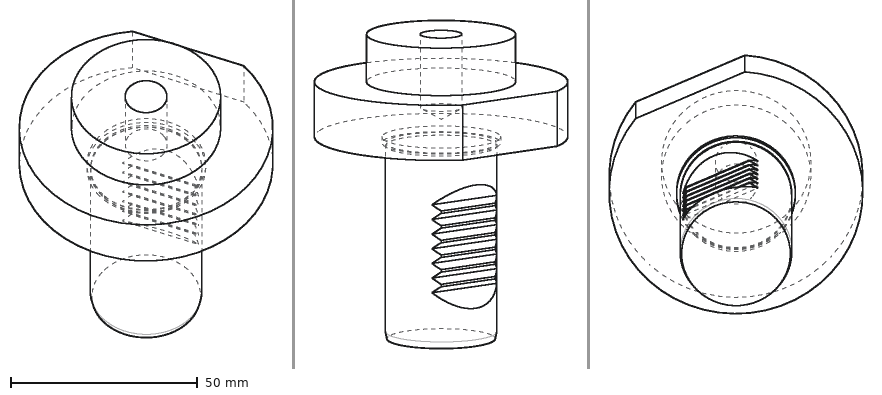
import cadquery as cq

total_height = 83
flange_thickness = 15.0
boss_height = 12.95
collar_thickness = 1.6
neck_height = 0.75
tip_height = 2.0

flange_top = total_height - boss_height
flange_bottom = flange_top - flange_thickness
collar_bottom = flange_bottom - collar_thickness
neck_bottom = collar_bottom - neck_height

flange_radius = 68.0 / 2
boss_radius = 40.0 / 2
collar_radius = 31.9 / 2
shank_radius = 30.0 / 2
neck_inset = 0.1
tip_inset = 0.4
neck_radius = shank_radius - neck_inset
tip_radius = shank_radius - tip_inset

flat_distance = 30.0

hole_radius = 11.2 / 2
hole_depth = 19.9
cone_height = 3.2

root_span = 24.0
root_count = 7
root_pitch = root_span / (root_count - 1)
root_depth = 4.8
crest_height = 1.7
notch_center = 27.3
notch_overshoot = 0.8


def make_turned_body():
    profile = [
        (0, 0),
        (tip_radius, 0),
        (shank_radius, tip_height),
        (shank_radius, neck_bottom),
        (neck_radius, neck_bottom),
        (neck_radius, collar_bottom),
        (collar_radius, collar_bottom),
        (collar_radius, flange_bottom),
        (flange_radius, flange_bottom),
        (flange_radius, flange_top),
        (boss_radius, flange_top),
        (boss_radius, total_height),
        (0, total_height),
    ]
    return cq.Workplane("XZ").polyline(profile).close().revolve(360, (0, 0), (0, 1))


def make_flat_cutter():
    width = 2 * flange_radius
    block = cq.Workplane("XY").box(width, width, flange_thickness, centered=(True, False, False))
    return block.translate((0, flat_distance, flange_bottom))


def make_hole_cutter():
    shoulder = total_height - hole_depth
    profile = [
        (0, shoulder - cone_height),
        (hole_radius, shoulder),
        (hole_radius, total_height),
        (0, total_height),
    ]
    return cq.Workplane("XZ").polyline(profile).close().revolve(360, (0, 0), (0, 1))


def make_notch_cutter():
    root_y = shank_radius - root_depth
    crest_y = root_y + crest_height
    outer_y = shank_radius + notch_overshoot
    flank_rise = outer_y - root_y
    first_root = notch_center - root_span / 2
    last_root = notch_center + root_span / 2

    profile = [(outer_y, first_root - flank_rise)]
    for i in range(root_count):
        root_z = first_root + i * root_pitch
        if i > 0:
            profile.append((crest_y, root_z - crest_height))
        profile.append((root_y, root_z))
        if i < root_count - 1:
            profile.append((crest_y, root_z + crest_height))
    profile.append((outer_y, last_root + flank_rise))
    return cq.Workplane("YZ").polyline(profile).close().extrude(shank_radius, both=True)


result = (
    make_turned_body()
    .cut(make_flat_cutter())
    .cut(make_hole_cutter())
    .cut(make_notch_cutter())
)